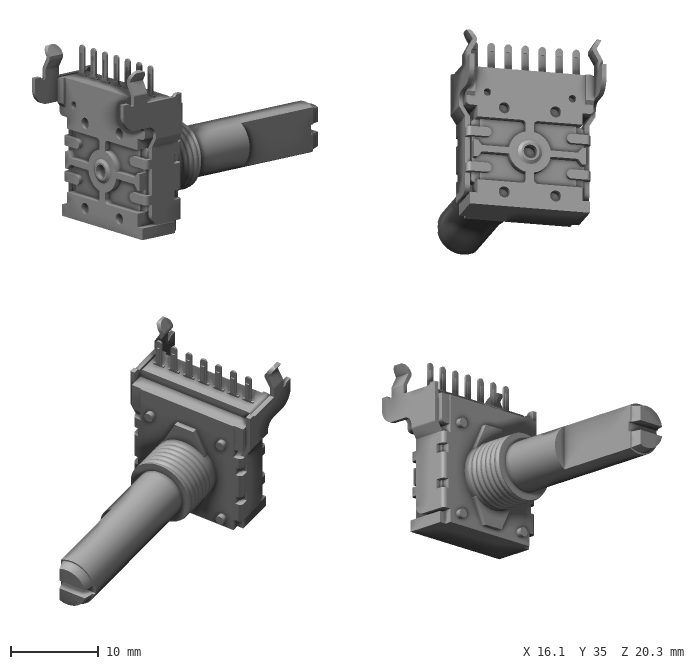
import cadquery as cq
import math


plate_back = 5.18
sheet = 0.54
plate_front = plate_back + sheet
bushing_start = 6.36
bushing_end = 11.4
flat_start = 19.45
taper_start = 30.2
shaft_end = 31.36

shaft_radius = 3.0
flat_offset = 1.5
taper_step = 0.2
taper_inset = 0.3
slot_width = 1.15
slot_floor = 29.9
bushing_radius = 4.0
thread_pitch = 0.75
thread_turns = 7
thread_runout = 0.2
thread_phase = 37
thread_depth = 0.12
groove_half_width = 0.3
groove_overshoot = 0.02
lug_root_x, lug_root_z = 2.75, 3.0
lug_tip_x, lug_tip_z = 1.25, 6.0
locating_pin_radius = 0.55
locating_pin_x, locating_pin_z = 4.8, 5.45

head_half_width = 7.5
head_bottom, head_top = 5.1, 9.7
head_front = 5.6
head_corner = 0.5
step_depth = 3.8
step_top = 8.6
pad_inner_x = 6.5
pad_height = 0.3
pad_bottom = 6.2
pad_slope = 0.45
core_half_width = 6.2
plate_half_width = 6.25
wall_half_width = 6.75
wall_bottom, wall_top = -5.1, 4.1
wall_back = 2.3
foot_half_width = 7.05
foot_top, foot_bottom = -5.33, -6.7
foot_front = 4.87

pocket_depth = 0.86
pocket_outer_z = 3.75
pocket_inner_z = 0.38
pocket_end_x = 0.47
pocket_corner = 0.5
hub_radius = 2.46
pocket_flare_x, pocket_flare_z = 6.15, 1.0
flare_run = 0.5
deck_half_width = 6.59
deck_corner = 0.4
ledge_x = 5.63
ledge_depth = 1.19
large_hole_radius, large_hole_x, large_hole_z = 0.65, 3.02, 5.02
small_hole_radius, small_hole_x, small_hole_z = 0.44, 5.0, 6.75
hole_depth = 1.0
hub_boss_radius, hub_boss_tip_radius = 1.42, 1.05
hub_boss_height = 0.22
hub_hole_radius = 0.8

side_inner_x = wall_half_width
side_outer_x = 7.32
arm_outer_x = 8.05
arm_inner_x = head_half_width
side_top = 4.07
side_back = 1.19
bracket_front = 5.03
arm_bottom, arm_top = 6.74, 9.68
arm_end = -3.64
ear_top = 10.0
tab_front, tab_back = -0.09, -2.1
tab_shoulder, tab_top = 12.75, 13.64
bend_radius = 0.52
arm_bend_radius = 0.38
lower_bend_z = 5.23
upper_bend_z = 10.83
tab_knee = [(7.29, 12.27), (7.97, 13.44), (7.53, tab_top), (6.8, 12.45), (6.8, 12.05)]
finger_z, finger_width = 2.12, 1.1
finger_tip_x = 4.45
finger_outer_y = 0.31
relief_back, relief_step = 4.55, 4.87
relief_depth = 0.2

terminal_count = 7
terminal_spacing = 2.0
terminal_width = 0.8
terminal_back, terminal_thickness = 2.0, 0.25
terminal_top = 13.3
terminal_root = 9.0
collar_width, collar_top = 1.4, 9.9
neck_width, neck_top = 0.9, 10.1
bead_width, bead_bottom, bead_top = 0.42, 10.2, 12.35
bead_height = 0.13


def sketch_at(y):
    """Sketch plane across the shaft; local axes are X and Z."""
    return cq.Workplane("XZ", origin=(0, y, 0))


def slab(x0, x1, y0, y1, z0, z1):
    return cq.Workplane("XY").box(x1 - x0, y1 - y0, z1 - z0, centered=False).translate((x0, y0, z0))


def wide_slab(half_width, y0, y1, z0, z1):
    return slab(-half_width, half_width, y0, y1, z0, z1)


def disc(radius, y0, y1, x=0, z=0):
    return sketch_at(y0).center(x, z).circle(radius).extrude(y0 - y1)


def both_sides(solid):
    return solid.union(solid.mirror("YZ"))


def make_shaft():
    shaft = disc(shaft_radius, plate_back, taper_start)
    taper_length = shaft_end - taper_start
    taper = (
        sketch_at(taper_start).circle(shaft_radius - taper_step)
        .workplane(offset=-taper_length).circle(shaft_radius - taper_step - taper_inset).loft(ruled=True)
    )
    shaft = shaft.union(taper)
    beyond = shaft_radius + 1
    shaft = shaft.cut(slab(flat_offset, beyond, flat_start, shaft_end, -beyond, beyond))
    tip_flat = flat_offset - taper_step
    flat_taper = (
        cq.Workplane("XY")
        .polyline([(tip_flat, taper_start), (beyond, taper_start), (beyond, shaft_end),
                   (tip_flat - taper_inset, shaft_end)])
        .close().extrude(beyond, both=True)
    )
    shaft = shaft.cut(flat_taper)
    return shaft.cut(wide_slab(beyond, slot_floor, shaft_end, -slot_width / 2, slot_width / 2))


def make_bushing():
    """Bushing with a shallow helical thread groove."""
    bushing = disc(bushing_radius, plate_front, bushing_end)
    helix_start = bushing_start + thread_runout
    root_radius = bushing_radius - thread_depth
    helix = cq.Wire.makeHelix(
        thread_pitch, thread_turns * thread_pitch, root_radius,
        center=cq.Vector(0, helix_start, 0), dir=cq.Vector(0, 1, 0),
    )
    start = helix.startPoint()
    outward = cq.Vector(start.x, 0, start.z).normalized()
    mouth_depth = thread_depth + groove_overshoot
    mouth_half = groove_half_width * mouth_depth / thread_depth
    groove = (
        cq.Workplane(cq.Plane(origin=start, xDir=outward, normal=outward.cross(cq.Vector(0, 1, 0))))
        .polyline([(0, 0), (mouth_depth, -mouth_half), (mouth_depth, mouth_half)])
        .close().sweep(cq.Workplane(obj=helix), isFrenet=True)
    )
    return bushing.cut(groove.rotate((0, 0, 0), (0, 1, 0), thread_phase))


def make_front_details():
    """Lugs beside the bushing and the four locating pins."""
    details = (
        sketch_at(plate_back)
        .polyline([(-lug_root_x, lug_root_z), (-lug_tip_x, lug_tip_z), (lug_tip_x, lug_tip_z),
                   (lug_root_x, lug_root_z), (lug_root_x, -lug_root_z), (lug_tip_x, -lug_tip_z),
                   (-lug_tip_x, -lug_tip_z), (-lug_root_x, -lug_root_z)])
        .close().extrude(plate_back - bushing_start)
    )
    for x in (-locating_pin_x, locating_pin_x):
        for z in (-locating_pin_z, locating_pin_z):
            details = details.union(disc(locating_pin_radius, plate_back - 1, bushing_start, x, z))
    return details


def make_housing():
    head = wide_slab(head_half_width, 0, head_front, head_bottom, head_top)
    head = head.edges("|Y").fillet(head_corner)
    head = head.cut(wide_slab(head_half_width, step_depth, head_front, step_top, head_top))
    core = wide_slab(core_half_width, 0, plate_back, foot_bottom, step_top)
    walls = wide_slab(wall_half_width, wall_back, plate_back, wall_bottom, wall_top)
    foot = wide_slab(foot_half_width, 0, foot_front, foot_bottom, foot_top)
    deck = wide_slab(deck_half_width, 0, wall_back, -pocket_outer_z, pocket_outer_z)
    deck = deck.edges("|Y").fillet(deck_corner)
    pad = (
        cq.Workplane("YZ", origin=(pad_inner_x, 0, 0))
        .polyline([(0, pad_bottom), (-pad_height, pad_bottom + pad_slope), (-pad_height, head_top),
                   (0, head_top)])
        .close().extrude(head_half_width - pad_inner_x)
    )
    rounded = wide_slab(head_half_width, -pad_height, head_front, head_bottom, head_top)
    pads = both_sides(pad).intersect(rounded.edges("|Y").fillet(head_corner))
    return head.union(core).union(walls).union(foot).union(deck).union(pads)


def make_pocket():
    """Pocket in the back face at +X, +Z; it runs out through the side."""
    outside = head_half_width
    pocket = (
        sketch_at(0)
        .polyline([(pocket_end_x, pocket_outer_z), (outside, pocket_outer_z), (outside, pocket_flare_z),
                   (pocket_flare_x, pocket_flare_z), (pocket_flare_x - flare_run, pocket_inner_z),
                   (pocket_end_x, pocket_inner_z)])
        .close().extrude(-pocket_depth)
    )
    pocket = pocket.edges("|Y").edges("<X").edges(">Z").fillet(pocket_corner)
    pocket = pocket.cut(disc(hub_radius, 0, pocket_depth))
    ledge = slab(ledge_x, outside, 0, ledge_depth, finger_z, pocket_outer_z)
    return pocket.union(ledge)


def cut_back_face(housing):
    pockets = both_sides(make_pocket())
    housing = housing.cut(pockets).cut(pockets.mirror("XY"))
    for side in (-1, 1):
        housing = housing.cut(disc(small_hole_radius, 0, hole_depth, side * small_hole_x, small_hole_z))
        for z in (-large_hole_z, large_hole_z):
            housing = housing.cut(disc(large_hole_radius, 0, hole_depth, side * large_hole_x, z))
    boss = (
        sketch_at(0).circle(hub_boss_radius)
        .workplane(offset=hub_boss_height).circle(hub_boss_tip_radius).loft(ruled=True)
    )
    return housing.union(boss).cut(disc(hub_hole_radius, -hub_boss_height, hole_depth))


def make_bracket_side():
    """Bent side strip of the bracket at +X, with its tab and two fingers."""
    bends = (
        sketch_at(arm_end)
        .polyline([(side_outer_x, wall_bottom), (side_outer_x, side_top), (arm_outer_x, lower_bend_z),
                   (arm_outer_x, upper_bend_z), *tab_knee, (arm_inner_x, upper_bend_z),
                   (arm_inner_x, lower_bend_z), (side_inner_x, side_top), (side_inner_x, wall_bottom)])
        .close().extrude(arm_end - plate_front)
    )
    bends = bends.edges("|Y").edges(">X").fillet(arm_bend_radius)
    inside_radius = 1.1
    lower_corner = 1.1
    lobe_radius = 1.8
    notch_radius = 0.3
    ear_front, ear_back = 4.0, -2.5
    diagonal = math.sqrt(0.5)
    outline = (
        cq.Workplane("YZ")
        .moveTo(bracket_front, wall_bottom).lineTo(bracket_front, ear_top).lineTo(ear_front + notch_radius, ear_top)
        .lineTo(ear_front, arm_top).lineTo(tab_front, arm_top).lineTo(tab_front, tab_shoulder)
        .threePointArc(((tab_front + tab_back) / 2, tab_top), (tab_back, tab_shoulder))
        .lineTo(tab_back, arm_top).lineTo(ear_back, arm_top).lineTo(ear_back - notch_radius, ear_top)
        .lineTo(arm_end, ear_top).lineTo(arm_end, arm_bottom + lobe_radius)
        .threePointArc((arm_end + lobe_radius * (1 - diagonal), arm_bottom + lobe_radius * (1 - diagonal)),
                       (arm_end + lobe_radius, arm_bottom))
        .lineTo(side_back - inside_radius, arm_bottom)
        .threePointArc((side_back - inside_radius * (1 - diagonal), arm_bottom - inside_radius * (1 - diagonal)),
                       (side_back, arm_bottom - inside_radius))
        .lineTo(side_back, wall_bottom + lower_corner)
        .threePointArc((side_back + lower_corner * (1 - diagonal), wall_bottom + lower_corner * (1 - diagonal)),
                       (side_back + lower_corner, wall_bottom))
        .close().extrude(arm_outer_x)
    )
    side = bends.intersect(outline)
    for z in (-finger_z, finger_z):
        side = side.union(make_finger(z))
    return side


def make_finger(z):
    half = finger_width / 2
    inner_y = finger_outer_y + sheet
    blade = slab(finger_tip_x + half, side_outer_x, finger_outer_y, inner_y, z - half, z + half)
    root = slab(side_inner_x, side_outer_x, finger_outer_y, side_back + sheet, z - half, z + half)
    finger = blade.union(root).edges("|Z").edges(">X").edges("<Y").fillet(bend_radius)
    return finger.union(disc(half, finger_outer_y, inner_y, finger_tip_x + half, z))


def make_bracket():
    plate = wide_slab(plate_half_width, plate_back, plate_front, foot_bottom, step_top)
    wings = wide_slab(side_outer_x, bracket_front, plate_front, wall_bottom, side_top)
    wings = wings.edges("|Z").edges(">Y").fillet(bend_radius)
    return plate.union(wings).union(both_sides(make_bracket_side()))


def make_reliefs():
    """Stepped openings through the rounded front corner of the bracket at +X."""
    half = finger_width / 2
    reliefs = cq.Workplane("XY")
    for z in (-finger_z, finger_z):
        opening = slab(side_inner_x, side_outer_x, relief_back, plate_front, z - half, z + half)
        step = slab(side_inner_x - relief_depth, side_outer_x, relief_step, plate_front, z - half, z + half)
        reliefs = reliefs.union(opening).union(step)
    return reliefs


def make_terminal(x):
    front = terminal_back + terminal_thickness
    half = terminal_width / 2
    blade = slab(x - half, x + half, terminal_back, front, terminal_root, terminal_top - half)
    tip = disc(half, terminal_back, front, x, terminal_top - half)
    collar = slab(x - collar_width / 2, x + collar_width / 2, terminal_back, front, terminal_root, collar_top)
    neck = slab(x - neck_width / 2, x + neck_width / 2, terminal_back, front, terminal_root, neck_top)
    bead = slab(x - bead_width / 2, x + bead_width / 2, front, front + bead_height, bead_bottom, bead_top)
    groove = bead.translate((0, -terminal_thickness, 0))
    return blade.union(tip).union(collar).union(neck).union(bead).cut(groove)


result = cut_back_face(make_housing()).union(make_bracket()).union(make_front_details())
result = result.cut(both_sides(make_reliefs()))
result = result.union(make_bushing()).union(make_shaft())
for index in range(terminal_count):
    result = result.union(make_terminal((index - (terminal_count - 1) / 2) * terminal_spacing))